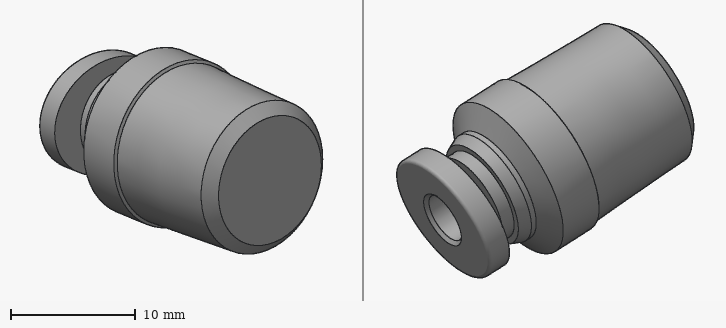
import cadquery as cq


overall_length = 21.6
flange_thickness = 2.03
collar_start = 2.92
guide_start = 4.1
guide_bevel_end = 5.12
shoulder_start = 5.62
barrel_start = 6.78
barrel_end = 10.5
barrel_bevel = 0.13
stem_start = barrel_end + barrel_bevel

collar_diameter = 8.1
guide_front_diameter = 9.15
guide_diameter = 10.0
barrel_diameter = 14.0
stem_root_diameter = 13.48
stem_tip_diameter = 12.8
stem_chamfer = 1.0

flange_width = 12.0
flange_height = 9.83
flange_rounding = 0.28
sleeve_diameter = 5.2
sleeve_end = barrel_end
bore_diameter = 4.2
bore_chamfer = 0.3


def make_housing():
    """Revolve the stepped outline about X and leave a blind recess for the button sleeve."""
    outline = [
        (collar_start, 0),
        (collar_start, collar_diameter / 2),
        (guide_start, collar_diameter / 2),
        (guide_start, guide_front_diameter / 2),
        (guide_bevel_end, guide_diameter / 2),
        (shoulder_start, guide_diameter / 2),
        (barrel_start, barrel_diameter / 2),
        (barrel_end, barrel_diameter / 2),
        (stem_start, stem_root_diameter / 2),
        (overall_length - stem_chamfer, stem_tip_diameter / 2),
        (overall_length, stem_tip_diameter / 2 - stem_chamfer),
        (overall_length, 0),
    ]
    body = cq.Workplane("XY").polyline(outline).close().revolve(360, (0, 0), (1, 0))
    recess = (
        cq.Workplane("YZ", origin=(collar_start, 0, 0))
        .circle(sleeve_diameter / 2)
        .extrude(sleeve_end - collar_start)
    )
    return body.cut(recess)


def make_button():
    """Oval flange on a round sleeve, with a chamfered bore right through both."""
    flange = (
        cq.Workplane("YZ")
        .ellipse(flange_width / 2, flange_height / 2)
        .extrude(flange_thickness)
        .faces("<X")
        .edges()
        .fillet(flange_rounding)
    )
    sleeve = (
        cq.Workplane("YZ", origin=(flange_thickness, 0, 0))
        .circle(sleeve_diameter / 2)
        .extrude(sleeve_end - flange_thickness)
    )
    bore = cq.Workplane("YZ").circle(bore_diameter / 2).extrude(sleeve_end)
    bored = flange.union(sleeve).cut(bore)
    mouth = cq.selectors.RadiusNthSelector(0)
    return bored.faces("<X").edges("%CIRCLE").edges(mouth).chamfer(bore_chamfer)


housing = make_housing()
button = make_button()

result = cq.Compound.makeCompound([housing.val(), button.val()])